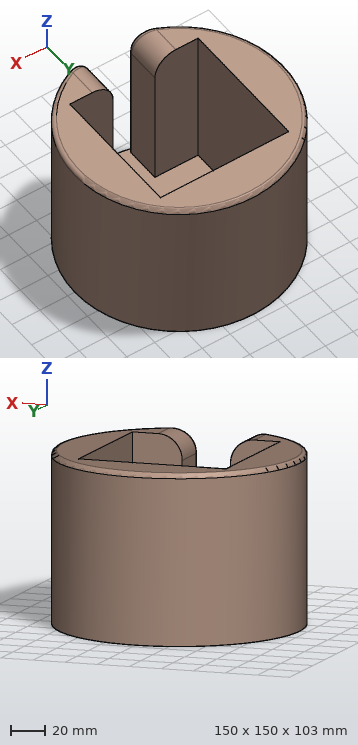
import cadquery as cq

outer_diameter = 150.0
total_height = 103.0
floor_thickness = 3.0
pocket_side = 92.0
slot_width = 30.0
slot_mouth_radius = 15.0
rim_radius = 3.0

outer_radius = outer_diameter / 2
wall_height = total_height - floor_thickness
half_slot = slot_width / 2
half_mouth = half_slot + slot_mouth_radius
mouth_start = total_height - slot_mouth_radius


def make_block():
    """Round block with a square pocket that stops at the floor."""
    block = cq.Workplane("XY").circle(outer_radius).extrude(total_height)
    pocket = (
        cq.Workplane("XY", origin=(0, 0, floor_thickness))
        .rect(pocket_side, pocket_side)
        .extrude(wall_height)
    )
    return block.cut(pocket)


def make_slot():
    """Front opening from the pocket to the outside, flaring in rounded corners at the top."""
    return (
        cq.Workplane("XZ")
        .moveTo(-half_slot, floor_thickness)
        .lineTo(half_slot, floor_thickness)
        .lineTo(half_slot, mouth_start)
        .radiusArc((half_mouth, total_height), slot_mouth_radius)
        .lineTo(-half_mouth, total_height)
        .radiusArc((-half_slot, mouth_start), slot_mouth_radius)
        .close()
        .extrude(outer_diameter)
    )


def is_outer_rim(edge):
    """True for edges on the outer cylinder, except those resting on the floor."""
    above_floor = edge.Center().z > floor_thickness + rim_radius
    on_cylinder = all(
        abs(cq.Vector(point.x, point.y, 0).Length - outer_radius) < 0.02
        for point in edge.positions([0, 0.5, 1])
    )
    return above_floor and on_cylinder


def round_outer_rim(body):
    """Round the top rim and the outer edges of the slot in one continuous run."""
    rim_edges = [
        edge
        for edge in body.edges().vals()
        if is_outer_rim(edge) and not (edge.geomType() == "LINE" and abs(edge.Center().x) > half_mouth)
    ]
    return body.newObject(rim_edges).fillet(rim_radius)


result = round_outer_rim(make_block().cut(make_slot()))